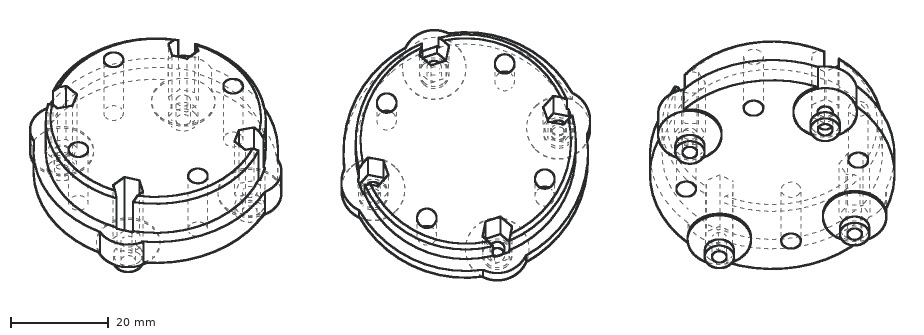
import cadquery as cq

foot_height = 2.0
cone_height = 3.5
lobe_height = 7.0
rim_height = 6.5
drum_height = 10.0

foot_bottom = -(cone_height + foot_height)
foot_top = -cone_height
flange_top = lobe_height
rim_bottom = flange_top - rim_height
drum_top = flange_top + drum_height

drum_diameter = 45.0
drum_chamfer = 1.0
rim_diameter = 50.0
lobe_diameter = 13.0
foot_diameter = 6.0

foot_circle_radius = 20.0
foot_angles = (0, 90, 180, 270)
sleeve_foot_angle = 180
screw_hole_diameter = 3.0
sleeve_diameter = 3.2
nut_across_flats = 5.5

mount_hole_diameter = 4.0
mount_circle_radius = 18.0
mount_angles = (45, 135, 225, 315)


def cylinder(diameter, bottom, top, x=0.0):
    """Upright cylinder between two heights, centred at (x, 0)."""
    return cq.Workplane("XY", origin=(x, 0, bottom)).circle(diameter / 2).extrude(top - bottom)


def turned(shape, angle):
    """Shape turned about the Z axis of the part."""
    return shape.rotate((0, 0, 0), (0, 0, 1), angle)


def make_body():
    """Rim of the flange with the chamfered drum standing on it."""
    rim = cylinder(rim_diameter, rim_bottom, flange_top)
    drum = cylinder(drum_diameter, flange_top, drum_top).faces(">Z").chamfer(drum_chamfer)
    return rim.union(drum)


def make_neck(angle):
    """Part between lobe and foot: a thin sleeve on one foot, a cone on the others."""
    if angle == sleeve_foot_angle:
        return cylinder(sleeve_diameter, foot_top, 0, foot_circle_radius)
    return (
        cq.Workplane("XY", origin=(foot_circle_radius, 0, foot_top))
        .circle(foot_diameter / 2)
        .workplane(offset=cone_height)
        .circle(lobe_diameter / 2)
        .loft()
    )


def make_leg(angle):
    """Flange lobe, neck and foot, stacked on one axis."""
    lobe = cylinder(lobe_diameter, 0, flange_top, foot_circle_radius)
    foot = cylinder(foot_diameter, foot_bottom, foot_top, foot_circle_radius)
    return turned(lobe.union(make_neck(angle)).union(foot), angle)


def make_screw_cut(angle):
    """Screw hole through the leg, opening into a hexagonal nut pocket as deep as the rim underside."""
    hole = cylinder(screw_hole_diameter, foot_bottom, drum_top, foot_circle_radius)
    pocket = (
        cq.Workplane("XY", origin=(foot_circle_radius, 0, rim_bottom))
        .polygon(6, nut_across_flats, circumscribed=True)
        .extrude(drum_top - rim_bottom)
    )
    return turned(hole.union(pocket), angle)


def make_mount_hole(angle):
    """Plain hole through rim and drum."""
    return turned(cylinder(mount_hole_diameter, rim_bottom, drum_top, mount_circle_radius), angle)


result = make_body()
for foot_angle in foot_angles:
    result = result.union(make_leg(foot_angle))
for foot_angle in foot_angles:
    result = result.cut(make_screw_cut(foot_angle))
for mount_angle in mount_angles:
    result = result.cut(make_mount_hole(mount_angle))